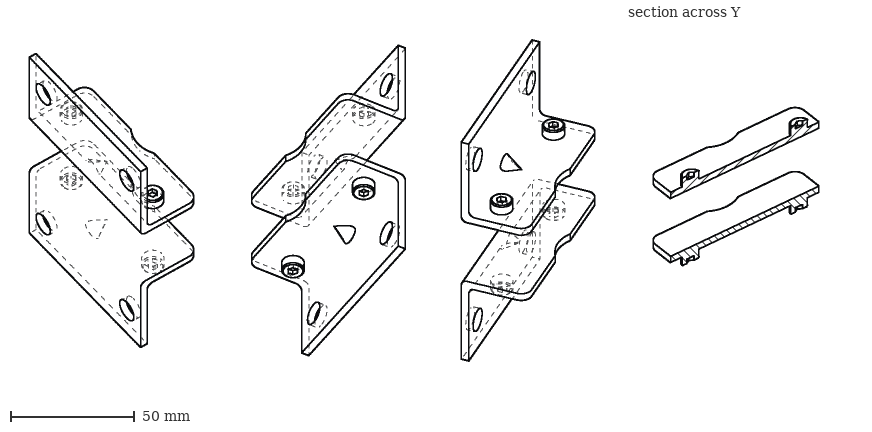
import cadquery as cq
import math

total_height = 108.4
gap = 29.3

width = 76.2
depth = 29.0
thickness = 3.4
bend_radius = 2.6
corner_radius = 4.5
leg_height = (total_height - gap) / 2

hole_diameter = 9.7
hole_spacing = 57.3
hole_edge_distance = 14.2

notch_width = 15.8
notch_depth = 2.3

head_diameter = 9.1
head_height = 4.4
head_edge_chamfer = 0.5
head_spacing = 55.7
head_setback = 13.5
socket_across_flats = 3.7
socket_depth = 2.2

gusset_diameter = 9.7
gusset_length = 7.6

shelf_top = gap / 2 + thickness


def angle_plate():
    """L-section with a rounded bend and rounded shelf corners."""
    bottom = gap / 2
    plate = (
        cq.Workplane("YZ")
        .moveTo(0, bottom)
        .lineTo(depth, bottom)
        .lineTo(depth, shelf_top)
        .lineTo(thickness, shelf_top)
        .lineTo(thickness, bottom + leg_height)
        .lineTo(0, bottom + leg_height)
        .close()
        .extrude(width / 2, both=True)
    )
    plate = plate.edges("|X and <Y and <Z").fillet(bend_radius)
    inner_corner = cq.selectors.NearestToPointSelector((0, thickness, shelf_top))
    plate = plate.edges(inner_corner).fillet(bend_radius)
    return plate.edges("|Z and >Y").fillet(corner_radius)


def cut_mounting_holes(plate):
    hole_height = gap / 2 + leg_height - hole_edge_distance
    holes = (
        cq.Workplane("XZ")
        .pushPoints([(-hole_spacing / 2, hole_height), (hole_spacing / 2, hole_height)])
        .circle(hole_diameter / 2)
        .extrude(-thickness)
    )
    return plate.cut(holes)


def cut_edge_notch(plate):
    """Shallow circular arc cut into the middle of the free edge."""
    notch = (
        cq.Workplane("XY", origin=(0, depth, gap / 2))
        .moveTo(-notch_width / 2, 0)
        .threePointArc((0, -notch_depth), (notch_width / 2, 0))
        .close()
        .extrude(thickness)
    )
    return plate.cut(notch)


def socket_head(x):
    """Round head with a chamfered rim and a hexagonal socket, points along Y."""
    corner_diameter = socket_across_flats / math.cos(math.pi / 6)
    head = (
        cq.Workplane("XY", origin=(x, head_setback, shelf_top))
        .circle(head_diameter / 2)
        .extrude(head_height)
        .faces(">Z")
        .chamfer(head_edge_chamfer)
    )
    socket = (
        cq.Workplane("XY", origin=(x, head_setback, shelf_top + head_height))
        .transformed(rotate=(0, 0, 90))
        .polygon(6, corner_diameter)
        .extrude(-socket_depth)
    )
    return head.cut(socket)


def bend_gusset():
    """Upper half of a cone lying on the shelf, its base against the upright leg."""
    radius = gusset_diameter / 2
    return (
        cq.Workplane("XY", origin=(0, thickness, shelf_top))
        .lineTo(radius, 0)
        .lineTo(0, gusset_length)
        .close()
        .revolve(180, (0, 1.1), (0, 0))
    )


def angle_bracket():
    bracket = angle_plate()
    bracket = cut_mounting_holes(bracket)
    bracket = cut_edge_notch(bracket)
    for x in (-head_spacing / 2, head_spacing / 2):
        bracket = bracket.union(socket_head(x))
    return bracket.union(bend_gusset())


upper_bracket = angle_bracket()
brackets = [upper_bracket, upper_bracket.mirror("XY")]

result = cq.Compound.makeCompound([bracket.solids().val() for bracket in brackets])